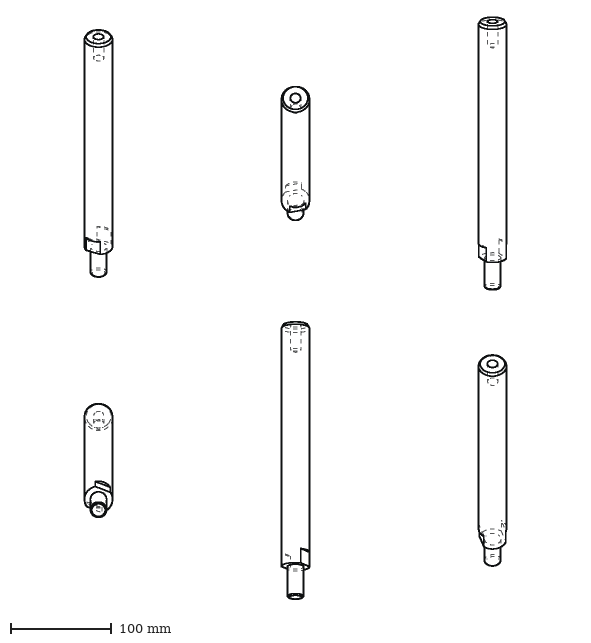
import cadquery as cq
import math

total_length = 282.0
rod_diameter = 28.0
stud_length = 32.0
stud_diameter = 16.0
rod_length = total_length - stud_length

rod_chamfer_height = 3.0
rod_chamfer_width = 1.7
stud_chamfer = 1.5

flat_height = 15.0
across_flats = 22.8

hole_diameter = 10.2
hole_depth = 25.0
drill_point_angle = 120.0


def turned_body():
    """Stepped rod revolved about Z, with the shoulder at Z = 0."""
    rod_radius = rod_diameter / 2
    stud_radius = stud_diameter / 2
    half_profile = (
        cq.Workplane("XZ")
        .moveTo(0, -stud_length)
        .lineTo(stud_radius - stud_chamfer, -stud_length)
        .lineTo(stud_radius, -stud_length + stud_chamfer)
        .lineTo(stud_radius, 0)
        .lineTo(rod_radius, 0)
        .lineTo(rod_radius, rod_length - rod_chamfer_height)
        .lineTo(rod_radius - rod_chamfer_width, rod_length)
        .lineTo(0, rod_length)
        .close()
    )
    return half_profile.revolve(360, (0, 0, 0), (0, 1, 0))


def cut_wrench_flats(body):
    """Remove the rod material outside the two flats facing -Y and +Y."""
    cutter_depth = rod_diameter - across_flats
    for side in (-1, 1):
        cutter = (
            cq.Workplane("XY")
            .center(0, side * (across_flats + cutter_depth) / 2)
            .rect(rod_diameter, cutter_depth)
            .extrude(flat_height)
        )
        body = body.cut(cutter)
    return body


def cut_end_hole(body):
    """Drill the cone-bottomed blind hole down from the upper end face."""
    hole_radius = hole_diameter / 2
    point_height = hole_radius / math.tan(math.radians(drill_point_angle / 2))
    straight_end = rod_length - hole_depth
    drill = (
        cq.Workplane("XZ")
        .moveTo(0, rod_length)
        .lineTo(hole_radius, rod_length)
        .lineTo(hole_radius, straight_end)
        .lineTo(0, straight_end - point_height)
        .close()
        .revolve(360, (0, 0, 0), (0, 1, 0))
    )
    return body.cut(drill)


result = cut_end_hole(cut_wrench_flats(turned_body()))